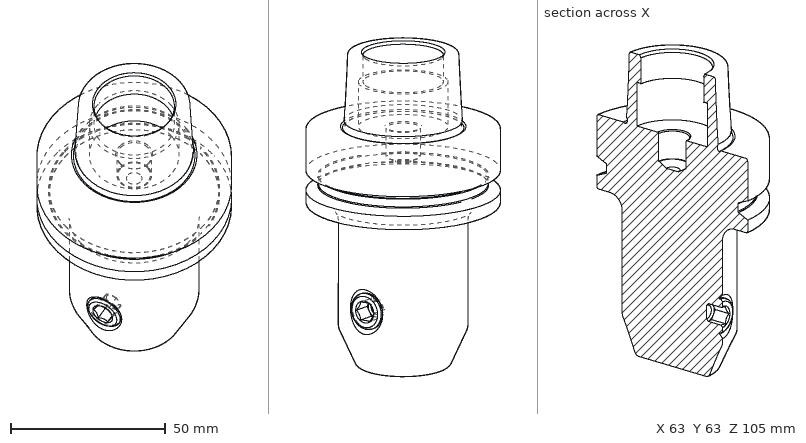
import math

import cadquery as cq


shank_length = 25.0
shank_top_radius = 18.0
shank_base_radius = 19.15
shank_base_height = 2.0
shank_edge_round = 1.0

neck_radius = 18.85
neck_top_height = 1.3
neck_top_round = 0.8
relief_outer_radius = 20.3
relief_depth = 0.35
relief_round = 0.8

flange_radius = 31.5
flange_thickness = 26.0
flange_top_round = 1.0
flange_bottom_round = 0.8
groove_center_z = -18.0
groove_mouth_half_width = 3.3
groove_floor_half_width = 1.55
groove_floor_radius = 27.4
groove_floor_round = 0.4

body_radius = 21.0
body_bottom_z = -80.0
body_root_round = 5.0
nose_start_z = -67.0
nose_angle = math.radians(24.2)
nose_shoulder_round = 2.0
nose_tip_round = 2.0

bore_radius = 13.0
bore_chamfer_width = 0.5
bore_chamfer_height = 1.0
bore_land_end_z = 15.0
recess_radius = 14.5
cavity_floor_z = 0.0
center_hole_radius = 5.6
center_hole_chamfer = 0.4
center_hole_depth = 10.0
center_hole_cone_radius = 5.25
center_hole_tip_radius = 2.5
center_hole_cone_slope = math.radians(31)

screw_z = -57.5
screw_radius = 6.0
screw_head_chamfer = 0.8
countersink_radius = 7.5
socket_across_flats = 6.0
socket_chamfer_radius = 3.65
socket_depth = 6.0
socket_tip_radius = 2.35


def revolve_about_z(profile):
    """Turn a closed (radius, Z) profile into a solid of revolution."""
    return profile.close().revolve(360, (0, 0, 0), (0, 1, 0))


def round_circle(solid, height, radius):
    """Fillet the circular edge that lies around the Z axis at the given height."""
    return solid.edges(cq.NearestToPointSelector((0, 0, height))).fillet(radius)


def screw_cone(outer_radius, inner_radius, start_depth):
    """45 degree cone on the screw axis, narrowing inwards from a depth below the body surface."""
    cone = cq.Solid.makeCone(
        outer_radius,
        inner_radius,
        outer_radius - inner_radius,
        pnt=cq.Vector(0, start_depth - body_radius, screw_z),
        dir=cq.Vector(0, 1, 0),
    )
    return cq.Workplane(obj=cone)


def screw_plane():
    """Sketch plane on the screw face, facing inwards and centred on the screw axis."""
    return cq.Workplane(cq.Plane((0, -body_radius, screw_z), (1, 0, 0), (0, 1, 0)))


def make_shank():
    relief_floor_radius = neck_radius + relief_round
    arc_offset = relief_round * math.sqrt(0.5)
    arc_center_z = relief_round - relief_depth
    profile = (
        cq.Workplane("XZ")
        .moveTo(0, shank_length)
        .lineTo(shank_top_radius, shank_length)
        .lineTo(shank_base_radius, shank_base_height)
        .lineTo(neck_radius, neck_top_height)
        .lineTo(neck_radius, arc_center_z)
        .threePointArc(
            (relief_floor_radius - arc_offset, arc_center_z - arc_offset),
            (relief_floor_radius, -relief_depth),
        )
        .lineTo(0, -relief_depth)
    )
    shank = round_circle(revolve_about_z(profile), neck_top_height, neck_top_round)
    return shank.faces(">Z").edges().fillet(shank_edge_round)


def make_flange():
    flange = cq.Workplane("XY").circle(flange_radius).extrude(-flange_thickness)
    flange = flange.faces(">Z").edges().fillet(flange_top_round)
    flange = flange.faces("<Z").edges().fillet(flange_bottom_round)
    groove = (
        cq.Workplane("XZ")
        .moveTo(flange_radius, groove_center_z + groove_mouth_half_width)
        .lineTo(groove_floor_radius, groove_center_z + groove_floor_half_width)
        .lineTo(groove_floor_radius, groove_center_z - groove_floor_half_width)
        .lineTo(flange_radius, groove_center_z - groove_mouth_half_width)
    )
    relief = (
        cq.Workplane("XZ")
        .lineTo(relief_outer_radius, 0)
        .lineTo(neck_radius + relief_round, -relief_depth)
        .lineTo(0, -relief_depth)
    )
    flange = flange.cut(revolve_about_z(groove)).cut(revolve_about_z(relief))
    for side in (-1, 1):
        floor_edge_z = groove_center_z + side * groove_floor_half_width
        flange = round_circle(flange, floor_edge_z, groove_floor_round)
    return flange


def make_body():
    nose_tip_radius = body_radius - (nose_start_z - body_bottom_z) * math.tan(nose_angle)
    profile = (
        cq.Workplane("XZ")
        .moveTo(0, -flange_thickness)
        .lineTo(body_radius, -flange_thickness)
        .lineTo(body_radius, nose_start_z)
        .lineTo(nose_tip_radius, body_bottom_z)
        .lineTo(0, body_bottom_z)
    )
    body = revolve_about_z(profile)
    body = round_circle(body, nose_start_z, nose_shoulder_round)
    body = body.faces("<Z").edges().fillet(nose_tip_round)

    root_offset = body_root_round * (1 - math.sqrt(0.5))
    root = (
        cq.Workplane("XZ")
        .moveTo(0, -flange_thickness)
        .lineTo(body_radius + body_root_round, -flange_thickness)
        .threePointArc(
            (body_radius + root_offset, -flange_thickness - root_offset),
            (body_radius, -flange_thickness - body_root_round),
        )
        .lineTo(0, -flange_thickness - body_root_round)
    )
    return body.union(revolve_about_z(root))


def make_cavity():
    hole_bottom_z = cavity_floor_z - center_hole_depth
    cone_height = (center_hole_cone_radius - center_hole_tip_radius) * math.tan(center_hole_cone_slope)
    tip_z = hole_bottom_z - cone_height
    profile = (
        cq.Workplane("XZ")
        .moveTo(0, shank_length)
        .lineTo(bore_radius + bore_chamfer_width, shank_length)
        .lineTo(bore_radius, shank_length - bore_chamfer_height)
        .lineTo(bore_radius, bore_land_end_z)
        .lineTo(recess_radius, bore_land_end_z)
        .lineTo(recess_radius, cavity_floor_z)
        .lineTo(center_hole_radius + center_hole_chamfer, cavity_floor_z)
        .lineTo(center_hole_radius, cavity_floor_z - center_hole_chamfer)
        .lineTo(center_hole_radius, hole_bottom_z)
        .lineTo(center_hole_cone_radius, hole_bottom_z)
        .lineTo(center_hole_tip_radius, tip_z)
        .lineTo(0, tip_z)
    )
    return revolve_about_z(profile)


def add_clamping_screw(holder):
    countersink_depth = countersink_radius - screw_radius
    holder = holder.cut(screw_cone(countersink_radius, screw_radius, 0))
    screw = screw_plane().circle(screw_radius).extrude(countersink_depth)
    screw = screw.faces("<Y").edges().chamfer(screw_head_chamfer)
    holder = holder.union(screw)

    socket_inner_radius = socket_across_flats / 2
    socket_corner_radius = socket_across_flats / math.sqrt(3)
    socket = screw_plane().polygon(6, 2 * socket_corner_radius).extrude(socket_depth)
    mouth = screw_cone(socket_chamfer_radius, socket_inner_radius, 0)
    tip = screw_cone(socket_inner_radius, socket_tip_radius, socket_depth)
    return holder.cut(socket).cut(mouth).cut(tip)


holder = make_flange().union(make_shank()).union(make_body()).cut(make_cavity())
result = add_clamping_screw(holder)